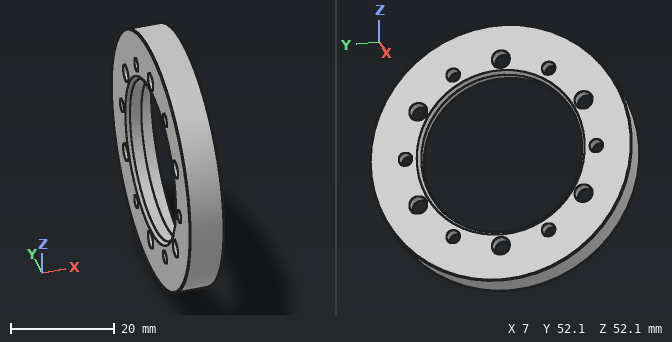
import cadquery as cq

outer_diameter = 52.15
thickness = 7.0
bore_diameter = 32.0
bore_chamfer = 0.75
rim_chamfer = 0.15

recess_diameter = 45.0
flange_thickness = 3.0

bolt_circle_diameter = 38.0
holes_per_set = 6
large_hole_diameter = 3.5
small_hole_diameter = 2.6
large_hole_start_angle = 90.0
small_hole_start_angle = 0.0


def bolt_holes(diameter, start_angle):
    """Ring of cylinders running through the full thickness along X."""
    return (
        cq.Workplane("YZ", origin=(-thickness / 2, 0, 0))
        .polarArray(bolt_circle_diameter / 2, start_angle, 360, holes_per_set)
        .circle(diameter / 2)
        .extrude(thickness)
    )


disc = (
    cq.Workplane("YZ", origin=(-thickness / 2, 0, 0))
    .circle(outer_diameter / 2)
    .extrude(thickness)
    .edges()
    .chamfer(rim_chamfer)
)

bored_ring = disc.cut(
    cq.Workplane("YZ", origin=(-thickness / 2, 0, 0)).circle(bore_diameter / 2).extrude(thickness)
)
ring = bored_ring.faces("<X").edges(cq.selectors.RadiusNthSelector(0)).chamfer(bore_chamfer)

recess = (
    cq.Workplane("YZ", origin=(flange_thickness - thickness / 2, 0, 0))
    .circle(recess_diameter / 2)
    .extrude(thickness - flange_thickness)
)

result = (
    ring
    .cut(recess)
    .cut(bolt_holes(large_hole_diameter, large_hole_start_angle))
    .cut(bolt_holes(small_hole_diameter, small_hole_start_angle))
)